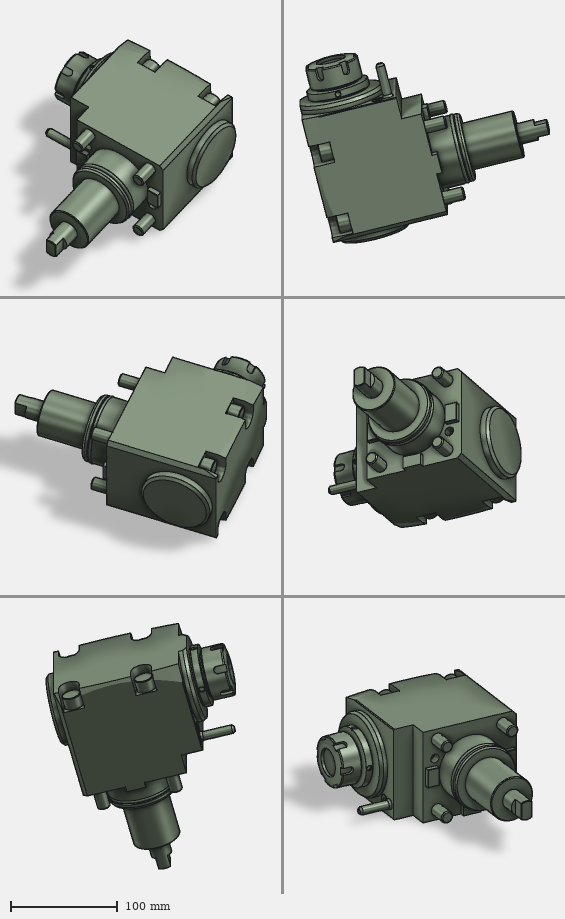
import cadquery as cq
import math


block_height = 94.0
half_height = block_height / 2
block_depth = 110.0
nose_x = -71.0
block_half_width = 50.0
step_depth = 19.0
side_chamfer = 4.0
nose_chamfer = 0.9

relief_left = 18.3
relief_mid_x = -7.3
relief_mid = 3.7
relief_right_x = 45.5
relief_right = 13.2
relief_slope = 4.0
relief_height = 8.8

spindle_y = 72.0
flange_radius = 41.5
flange_front_x = -78.8
flange_chamfer_length = 3.5
flange_chamfer_height = 1.8
gap_radius = 27.5
ring_back_x = -80.3
ring_front_x = -87.1
ring_radius = 29.5
neck_radius = 20.7
ring_hole_radius = 2.6
ring_hole_depth = 2.2
ring_hole_count = 4

nut_back_x = -88.9
nut_front_x = -111.5
nut_radius = 25.0
nut_rim_radius = 24.5
nut_face_radius = 17.8
nut_edge_x = -108.7
nut_rim_x = -110.0
nut_back_chamfer = 1.0
nut_bore_radius = 13.9
nut_bore_depth = 3.0
nut_slot_count = 6
nut_slot_width = 7.0
nut_slot_end_x = -98.5
nut_slot_floor_radius = 21.8

cap_radius = 34.3
cap_length = 8.8
cap_chamfer = 2.6

collar_radius = 32.5
collar_length = 32.1
collar_chamfer_length = 2.2
collar_chamfer_height = 1.3
shaft_radius = 22.5
shaft_end = 81.5
shaft_chamfer = 0.9
drive_radius = 10.0
drive_end = 110.0
tang_length = 11.9
tang_half_thickness = 5.7
tang_chamfer = 0.7

ring_section_radius = 1.5
groove_start = 22.9
groove_width = 4.2
groove_floor_radius = 30.1

screw_x = 35.0
screw_z = 36.5
screw_diameter = 12.0
screw_radius = screw_diameter / 2
screw_length = 20.0
screw_chamfer = 1.0
head_radius = 9.0
head_length = 11.9
head_chamfer = 0.7
pocket_width = 20.0
pocket_radius = pocket_width / 2
pocket_depth = 20.0

key_inner_x = 35.0
key_outer_x = 47.3
key_half_width = 9.2
key_height = 5.0
key_chamfer = 0.5
lower_key_top_z = -35.0

drill_point_angle = 118
drill_half_angle = math.radians(drill_point_angle / 2)
port_x = 37.2
port_z = 17.0
port_radius = 4.5
port_depth = 8.8

nozzle_y = 26.8
nozzle_z = -33.7
nozzle_radius = 4.2
nozzle_tip_x = -103.6
nozzle_tip_radius = 2.6
nozzle_tip_chamfer = 2.2
nozzle_foot_radius = 5.3
nozzle_foot_length = 2.5
nozzle_bore_radius = 1.8
nozzle_bore_depth = 8.8
plug_y = 37.0
plug_radius = 5.5
plug_recess = 0.5
socket_radius = 2.0
socket_depth = 2.2


def box(x_range, y_range, z_range):
    """Box between two limits along each axis."""
    low, high = zip(x_range, y_range, z_range)
    size = [b - a for a, b in zip(low, high)]
    return cq.Workplane("XY").box(*size, centered=False).translate(low)


def rod(start, direction, radius, length):
    """Cylinder from a start point along a direction."""
    return cq.Workplane(cq.Solid.makeCylinder(radius, length, cq.Vector(*start), cq.Vector(*direction)))


def turned_along_x(profile, axis_y, axis_z=0):
    """Solid turned about a line parallel to X, from (x, radius) points."""
    plane = cq.Workplane("XY", origin=(0, axis_y, axis_z))
    return plane.polyline(profile).close().revolve(360, (0, 0, 0), (1, 0, 0))


def turned_along_shank(profile):
    """Solid turned about the shank axis, from (radius, distance below the mounting face) points."""
    points = [(radius, -distance) for radius, distance in profile]
    return cq.Workplane("XY").polyline(points).close().revolve(360, (0, 0, 0), (0, 1, 0))


def drilled_hole(x, y, z, radius, depth):
    """Hole cutter running toward +Y from its start point, with a conical bottom."""
    tip = depth + radius / math.tan(drill_half_angle)
    profile = [(0, 0), (radius, 0), (radius, depth), (0, tip)]
    hole = cq.Workplane("XY").polyline(profile).close().revolve(360, (0, 0, 0), (0, 1, 0))
    return hole.translate((x, y, z))


def make_block():
    """Block with its stepped nose, chamfered on the +X side and along the nose edges."""
    base = box((-block_half_width, block_half_width), (0, block_depth), (-half_height, half_height))
    base = base.edges("|Y and >X").chamfer(side_chamfer)
    nose = box((nose_x, 0), (step_depth, block_depth), (-half_height, half_height))
    nose = nose.edges("|Y and <X").chamfer(nose_chamfer)
    return base.union(nose)


def make_relief():
    """Cutter for the curved relief at the upper rear edge, sloping back as it goes down."""
    left = (nose_x, block_depth - relief_left)
    middle = (relief_mid_x, block_depth - relief_mid)
    right = (relief_right_x, block_depth - relief_right)
    behind = 2 * block_depth
    outline = (
        cq.Workplane("XY", origin=(0, 0, half_height))
        .moveTo(*left)
        .threePointArc(middle, right)
        .lineTo(block_half_width, block_depth - relief_right)
        .lineTo(block_half_width, behind)
        .lineTo(nose_x, behind)
        .close()
    )
    wire = outline.wires().val()
    slide = cq.Vector(0, relief_slope * relief_height, -relief_height)
    return cq.Workplane(cq.Solid.extrudeLinear(wire, [], slide))


def make_flange():
    """Spindle flange on the nose, cut off flush with the rear face."""
    disk = turned_along_x(
        [
            (nose_x, 0),
            (nose_x, flange_radius),
            (flange_front_x + flange_chamfer_length, flange_radius),
            (flange_front_x, flange_radius - flange_chamfer_height),
            (flange_front_x, 0),
        ],
        spindle_y,
    )
    return disk.intersect(box((flange_front_x, nose_x), (0, block_depth), (-half_height, half_height)))


def make_spindle():
    """Slotted spindle ring, neck and collet nut with its wrench slots."""
    spindle = turned_along_x(
        [
            (flange_front_x, 0),
            (flange_front_x, gap_radius),
            (ring_back_x, gap_radius),
            (ring_back_x, ring_radius),
            (ring_front_x, ring_radius),
            (ring_front_x, neck_radius),
            (nut_back_x, neck_radius),
            (nut_back_x, nut_radius - nut_back_chamfer),
            (nut_back_x - nut_back_chamfer, nut_radius),
            (nut_edge_x, nut_radius),
            (nut_rim_x, nut_rim_radius),
            (nut_front_x, nut_face_radius),
            (nut_front_x, nut_bore_radius),
            (nut_front_x + nut_bore_depth, nut_bore_radius),
            (nut_front_x + nut_bore_depth, 0),
        ],
        spindle_y,
    )
    axis_start = (0, spindle_y, 0)
    axis_end = (1, spindle_y, 0)

    slot_half = nut_slot_width / 2
    slot_centre_x = nut_slot_end_x - slot_half
    floor_y = spindle_y - nut_slot_floor_radius
    outside_y = spindle_y - ring_radius
    slot = box((nut_front_x, slot_centre_x), (outside_y, floor_y), (-slot_half, slot_half))
    slot = slot.union(rod((slot_centre_x, outside_y, 0), (0, 1, 0), slot_half, floor_y - outside_y))
    for i in range(nut_slot_count):
        spindle = spindle.cut(slot.rotate(axis_start, axis_end, i * 360 / nut_slot_count))

    hole_x = (ring_front_x + ring_back_x) / 2
    hole = drilled_hole(hole_x, outside_y, 0, ring_hole_radius, ring_hole_depth)
    for i in range(ring_hole_count):
        spindle = spindle.cut(hole.rotate(axis_start, axis_end, i * 360 / ring_hole_count))
    return spindle


def make_cap():
    """Bearing cap opposite the nut."""
    cap = rod((block_half_width, spindle_y, 0), (1, 0, 0), cap_radius, cap_length)
    return cap.faces(">X").chamfer(cap_chamfer)


def make_shank():
    """Grooved collar, shaft and flattened drive end."""
    groove_end = groove_start + groove_width
    shank = turned_along_shank(
        [
            (0, 0),
            (collar_radius, 0),
            (collar_radius, groove_start),
            (groove_floor_radius, groove_start),
            (groove_floor_radius, groove_end),
            (collar_radius, groove_end),
            (collar_radius, collar_length - collar_chamfer_length),
            (collar_radius - collar_chamfer_height, collar_length),
            (shaft_radius, collar_length),
            (shaft_radius, shaft_end - shaft_chamfer),
            (shaft_radius - shaft_chamfer, shaft_end),
            (drive_radius, shaft_end),
            (drive_radius, drive_end),
            (0, drive_end),
        ]
    )
    tang_range = (-drive_end, tang_length - drive_end)
    for side in (-1, 1):
        flat_range = sorted((side * tang_half_thickness, side * shaft_radius))
        shank = shank.cut(box(flat_range, tang_range, (-drive_radius, drive_radius)))
    return shank.faces("<Y").chamfer(tang_chamfer)


def make_pocket(x, side):
    """Round-bottomed screw-head pocket, open to the rear and to the top or bottom."""
    floor_y = block_depth - pocket_depth
    z_range = sorted((side * screw_z, side * block_height))
    walls = box((x - pocket_radius, x + pocket_radius), (floor_y, block_depth), z_range)
    return walls.union(rod((x, floor_y, side * screw_z), (0, 1, 0), pocket_radius, pocket_depth))


def make_screw(x, side):
    """Screw end below the mounting face with its head in the rear pocket."""
    z = side * screw_z
    end = rod((x, 0, z), (0, -1, 0), screw_radius, screw_length).faces("<Y").chamfer(screw_chamfer)
    head = rod((x, block_depth - pocket_depth, z), (0, 1, 0), head_radius, head_length)
    return end.union(head.faces(">Y").chamfer(head_chamfer))


def make_keys():
    """Two chamfered side keys and one plain key at the lower edge."""
    y_range = (-key_height, 0)
    width = (-key_half_width, key_half_width)
    side_keys = [
        box((key_inner_x, key_outer_x), y_range, width),
        box((-key_outer_x, -key_inner_x), y_range, width),
    ]
    lower_key = box(width, y_range, (-half_height, lower_key_top_z))
    return [key.faces("<Y").chamfer(key_chamfer) for key in side_keys] + [lower_key]


def make_nozzle():
    """Coolant tube with a flared foot and a bored, chamfered tip."""
    bore_end_x = nozzle_tip_x + nozzle_bore_depth
    return turned_along_x(
        [
            (nose_x, 0),
            (nose_x, nozzle_foot_radius),
            (nose_x - nozzle_foot_length, nozzle_radius),
            (nozzle_tip_x + nozzle_tip_chamfer, nozzle_radius),
            (nozzle_tip_x, nozzle_tip_radius),
            (nozzle_tip_x, nozzle_bore_radius),
            (bore_end_x, nozzle_bore_radius),
            (bore_end_x, 0),
        ],
        nozzle_y,
        nozzle_z,
    )


def make_holder():
    """Everything except the O-ring, as one solid."""
    relief = make_relief()
    holder = make_block().cut(relief).cut(relief.mirror("XY"))
    corners = [(x, side) for x in (-screw_x, screw_x) for side in (-1, 1)]
    for x, side in corners:
        holder = holder.cut(make_pocket(x, side))
    holder = holder.cut(drilled_hole(-port_x, 0, port_z, port_radius, port_depth))
    holder = holder.cut(rod((port_x, 0, -port_z), (0, 1, 0), port_radius, port_depth))
    holder = holder.cut(rod((nose_x, plug_y, nozzle_z), (1, 0, 0), plug_radius, plug_recess))
    holder = holder.cut(rod((nose_x, plug_y, nozzle_z), (1, 0, 0), socket_radius, socket_depth))
    for x, side in corners:
        holder = holder.union(make_screw(x, side))
    for key in make_keys():
        holder = holder.union(key)
    for part in (make_flange(), make_spindle(), make_cap(), make_shank(), make_nozzle()):
        holder = holder.union(part)
    return holder.solids()


def make_o_ring():
    """O-ring resting on the groove floor against the upper groove wall."""
    centre = cq.Vector(0, -(groove_start + ring_section_radius), 0)
    ring_radius_at_centre = groove_floor_radius + ring_section_radius
    return cq.Solid.makeTorus(ring_radius_at_centre, ring_section_radius, centre, cq.Vector(0, 1, 0))


holder = make_holder()
o_ring = make_o_ring()
result = cq.Compound.makeCompound([holder.val(), o_ring])